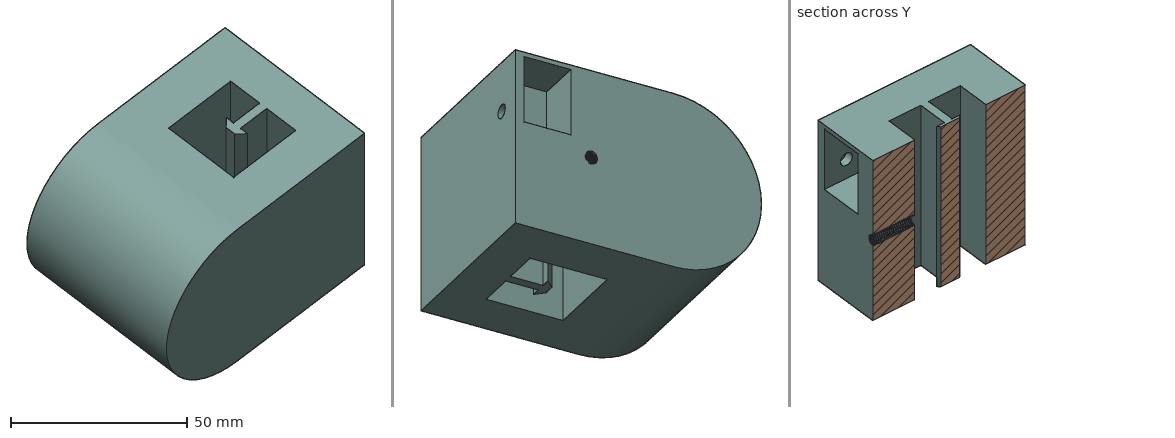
import cadquery as cq
import math

width = 56.0
length = 79.55
height = 57.0
nose_radius = height / 2
back_y = length - nose_radius
top_z = height / 2

window_width = 26.1
window_length = 24.9
window_left = 15.35
window_back_y = back_y - 13.1

stem_width = 2.9
stem_length = 10.5
barb_width = 8.6
barb_tip_width = 3.5
barb_length = 2.7

pocket_depth = 14.2
pocket_length = 15.0
pocket_height = 21.5
pocket_back_wall = 2.9
pocket_top_wall = 1.5

back_hole_diameter = 4.3
back_hole_x = 8.1
back_hole_below_top = 16.15

thread_minor_diameter = 3.35
thread_major_diameter = 4.1
thread_pitch = 0.7
thread_flank_angle = 60.0
thread_start_angle = 75.0
thread_overlap = 0.15
thread_from_back = 24.5


def make_body():
    return (
        cq.Workplane("YZ")
        .moveTo(back_y, -top_z)
        .lineTo(back_y, top_z)
        .lineTo(0, top_z)
        .threePointArc((-nose_radius, 0), (0, -top_z))
        .close()
        .extrude(width)
    )


def make_window():
    """Rectangular window with the arrow-shaped hook left standing in it."""
    center_x = window_left + window_width / 2
    barb_y = window_back_y - stem_length
    tip_y = barb_y - barb_length
    opening = (
        cq.Workplane("XY", origin=(0, 0, -top_z))
        .center(center_x, window_back_y - window_length / 2)
        .rect(window_width, window_length)
        .extrude(height)
    )
    hook = (
        cq.Workplane("XY", origin=(center_x, 0, -top_z))
        .moveTo(-stem_width / 2, window_back_y)
        .lineTo(-stem_width / 2, barb_y)
        .lineTo(-barb_width / 2, barb_y)
        .lineTo(-barb_tip_width / 2, tip_y)
        .lineTo(barb_tip_width / 2, tip_y)
        .lineTo(barb_width / 2, barb_y)
        .lineTo(stem_width / 2, barb_y)
        .lineTo(stem_width / 2, window_back_y)
        .close()
        .extrude(height)
    )
    return opening.cut(hook)


def make_pocket():
    front_y = back_y - pocket_back_wall - pocket_length
    bottom_z = top_z - pocket_top_wall - pocket_height
    return cq.Workplane("XY", origin=(0, front_y, bottom_z)).box(
        pocket_depth, pocket_length, pocket_height, centered=False
    )


def make_back_hole():
    return (
        cq.Workplane("XZ", origin=(back_hole_x, back_y, top_z - back_hole_below_top))
        .circle(back_hole_diameter / 2)
        .extrude(pocket_back_wall)
    )


def make_thread_groove():
    """V-shaped helical groove around the threaded hole, one turn longer than it at each end."""
    start = math.radians(thread_start_angle)
    axis_plane = cq.Plane(
        origin=(-thread_pitch, back_y - thread_from_back, 0),
        xDir=(0, -math.cos(start), math.sin(start)),
        normal=(1, 0, 0),
    )
    turns = math.ceil(window_left / thread_pitch) + 2
    root_radius = thread_major_diameter / 2
    inner_radius = thread_minor_diameter / 2 - thread_overlap
    half_opening = (root_radius - inner_radius) * math.tan(math.radians(thread_flank_angle / 2))
    helix = cq.Wire.makeHelix(thread_pitch, turns * thread_pitch, root_radius)
    groove = (
        cq.Workplane("XZ")
        .moveTo(inner_radius, -half_opening)
        .lineTo(root_radius, 0)
        .lineTo(inner_radius, half_opening)
        .close()
        .sweep(cq.Workplane(obj=helix), isFrenet=True)
    )
    return cq.Workplane(obj=groove.val().moved(cq.Location(axis_plane)))


def make_thread_bore():
    """Bore of the threaded hole, running one pitch past each end of it."""
    return (
        cq.Workplane("YZ", origin=(-thread_pitch, back_y - thread_from_back, 0))
        .circle(thread_minor_diameter / 2)
        .extrude(window_left + 2 * thread_pitch)
    )


body = make_body().cut(make_window()).cut(make_pocket()).cut(make_back_hole())
result = body.cut(make_thread_groove()).cut(make_thread_bore())